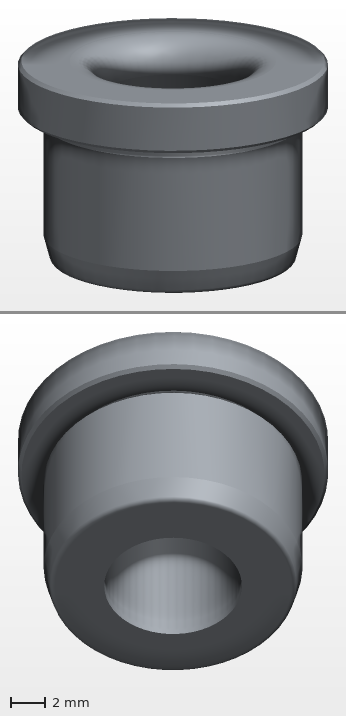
import cadquery as cq
import math

head_radius = 9.0
body_radius = 7.5
bore_radius = 8.0 / 2
total_height = 12.0
head_height = 3.0
head_chamfer = 0.2
mouth_radius = 2.0

groove_depth = 0.5
groove_round = 0.4
groove_angle = 45.0

lead_height = 1.5
lead_angle = 15.0
tip_round = 0.3

head_bottom = total_height - head_height
neck_radius = body_radius - groove_depth
run_out_slope = math.radians(groove_angle)
run_out_radius = neck_radius + groove_round * (1 - math.cos(run_out_slope))
run_out_top = head_bottom - groove_round * math.sin(run_out_slope)
groove_bottom = run_out_top - (body_radius - run_out_radius) / math.tan(run_out_slope)
tip_radius = body_radius - lead_height * math.tan(math.radians(lead_angle))


def bushing_profile():
    """Half section of the bushing in the XZ plane, from the bore outward."""
    return (
        cq.Workplane("XZ")
        .moveTo(bore_radius, 0)
        .lineTo(tip_radius, 0)
        .lineTo(body_radius, lead_height)
        .lineTo(body_radius, groove_bottom)
        .lineTo(run_out_radius, run_out_top)
        .radiusArc((neck_radius, head_bottom), groove_round)
        .lineTo(head_radius - head_chamfer, head_bottom)
        .lineTo(head_radius, head_bottom + head_chamfer)
        .lineTo(head_radius, total_height - head_chamfer)
        .lineTo(head_radius - head_chamfer, total_height)
        .lineTo(bore_radius + mouth_radius, total_height)
        .radiusArc((bore_radius, total_height - mouth_radius), -mouth_radius)
        .close()
    )


bushing = bushing_profile().revolve(360, (0, 0, 0), (0, 1, 0))
outer_edge = cq.selectors.RadiusNthSelector(-1)
result = bushing.faces("<Z").edges(outer_edge).fillet(tip_round)